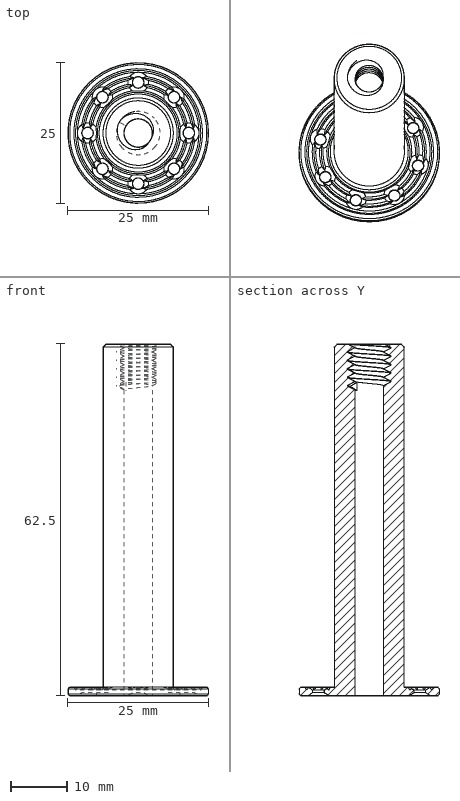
import cadquery as cq

total_height = 62.5
flange_diameter = 25.0
flange_thickness = 1.55
flange_chamfer = 0.3
post_diameter = 12.5
post_chamfer = 0.5

bore_diameter = 5.0
thread_diameter = 7.75
thread_pitch = 1.5
thread_turns = 5
thread_crest_width = 0.05
thread_root_width = 0.05
thread_exit_angle = 150.0
thread_overlap = 0.03

groove_count = 4
groove_inner_radius = 7.25
groove_outer_radius = 11.1
groove_half_width = 0.3
groove_depth = 0.5

hole_count = 8
hole_diameter = 2.0
hole_circle_radius = 9.0
countersink_diameter = 3.6
countersink_depth = 0.55


def make_flange():
    """Round flange with both rims chamfered."""
    disc = cq.Workplane("XY").circle(flange_diameter / 2).extrude(flange_thickness)
    return disc.edges().chamfer(flange_chamfer)


def make_post():
    """Round post on the flange with a chamfered upper rim."""
    post = cq.Workplane("XY").circle(post_diameter / 2).extrude(total_height)
    return post.faces(">Z").edges().chamfer(post_chamfer)


def make_bore():
    """Plain bore through the whole height."""
    return cq.Workplane("XY").circle(bore_diameter / 2).extrude(total_height)


def make_thread_groove():
    """Right-handed tapered groove that runs out through the upper end of the bore."""
    bore_radius = bore_diameter / 2
    thread_radius = thread_diameter / 2
    root_half = thread_root_width / 2
    mouth_half = (thread_pitch - thread_crest_width) / 2

    inner_radius = bore_radius - thread_overlap
    flank_slope = (mouth_half - root_half) / (thread_radius - bore_radius)
    inner_half = mouth_half + thread_overlap * flank_slope

    helix_height = (thread_turns + 1) * thread_pitch
    helix = cq.Wire.makeHelix(thread_pitch, helix_height, bore_radius)
    groove = (
        cq.Workplane("XZ")
        .moveTo(inner_radius, -inner_half)
        .lineTo(thread_radius, -root_half)
        .lineTo(thread_radius, root_half)
        .lineTo(inner_radius, inner_half)
        .close()
        .sweep(cq.Workplane(obj=helix), isFrenet=True)
    )
    start_height = total_height + thread_pitch - helix_height
    return groove.rotate((0, 0, 0), (0, 0, 1), thread_exit_angle).translate((0, 0, start_height))


def make_ring_grooves():
    """Evenly spaced V-grooves around the post."""
    spacing = (groove_outer_radius - groove_inner_radius) / (groove_count - 1)
    grooves = cq.Workplane("XY")
    for index in range(groove_count):
        radius = groove_inner_radius + index * spacing
        ring = (
            cq.Workplane("XZ")
            .moveTo(radius - groove_half_width, flange_thickness)
            .lineTo(radius, flange_thickness - groove_depth)
            .lineTo(radius + groove_half_width, flange_thickness)
            .close()
            .revolve(360, (0, 0, 0), (0, 1, 0))
        )
        grooves = grooves.add(ring)
    return grooves.combine()


def make_hole_cutters():
    """Circle of through holes, countersunk alike from both faces."""
    hole_radius = hole_diameter / 2
    countersink_radius = countersink_diameter / 2
    cutter = (
        cq.Workplane("XZ")
        .lineTo(countersink_radius, 0)
        .lineTo(hole_radius, countersink_depth)
        .lineTo(hole_radius, flange_thickness - countersink_depth)
        .lineTo(countersink_radius, flange_thickness)
        .lineTo(0, flange_thickness)
        .close()
        .revolve(360, (0, 0, 0), (0, 1, 0))
        .val()
    )
    return (
        cq.Workplane("XY")
        .polarArray(hole_circle_radius, 0, 360, hole_count)
        .eachpoint(lambda place: cutter.moved(place), combine=False)
    )


body = make_flange().union(make_post())
body = body.cut(make_ring_grooves())
body = body.cut(make_hole_cutters())
body = body.cut(make_bore())
result = body.cut(make_thread_groove())